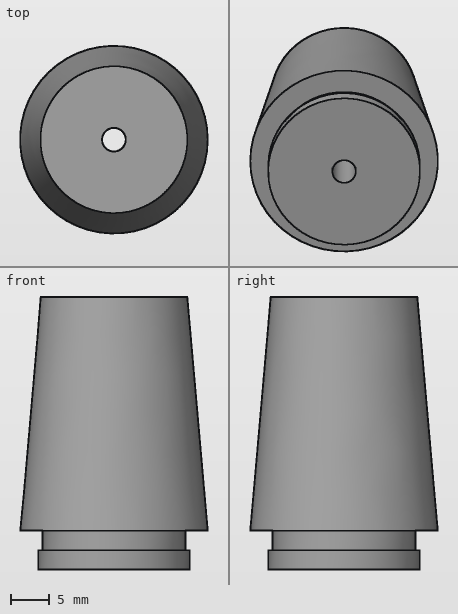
import cadquery as cq

total_height = 35.0
base_diameter = 24.1
top_diameter = 18.85
flange_diameter = 19.5
neck_diameter = 18.4
bore_diameter = 3.0
flange_height = 2.5
neck_height = 2.52

body_bottom = flange_height + neck_height


def cylinder(diameter, height, bottom):
    """Upright cylinder centred on the Z axis."""
    return cq.Workplane("XY").workplane(offset=bottom).circle(diameter / 2).extrude(height)


def tapered_body():
    """Cone frustum that narrows toward the top."""
    return (
        cq.Workplane("XZ")
        .moveTo(0, body_bottom)
        .lineTo(base_diameter / 2, body_bottom)
        .lineTo(top_diameter / 2, total_height)
        .lineTo(0, total_height)
        .close()
        .revolve(360, (0, 0, 0), (0, 1, 0))
    )


flange = cylinder(flange_diameter, flange_height, 0)
neck = cylinder(neck_diameter, neck_height, flange_height)

bore = cylinder(bore_diameter, total_height, 0)

result = flange.union(neck).union(tapered_body()).cut(bore)